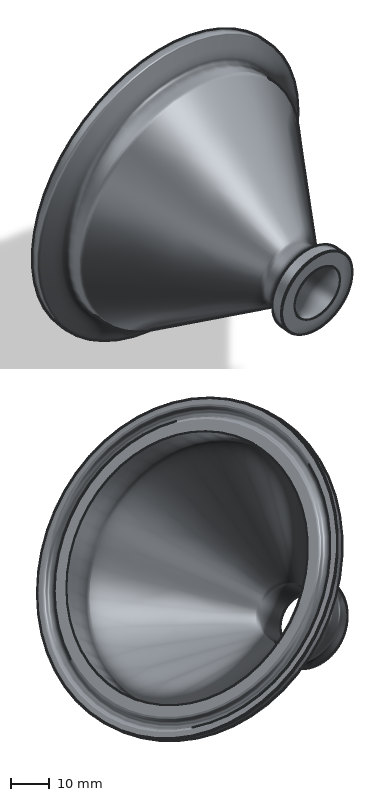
import cadquery as cq
import math

length = 60.0
wall = 1.6
flange_slope = math.radians(20)
edge_break = 0.2

large_flange_radius = 45.5
large_tube_radius = 38.1
large_slope_start = 2.8
large_rim_round = 0.8
large_neck_round = 1.9
large_bend_x = 11.0
large_bend_round = 2.0

small_flange_radius = 12.5
small_tube_radius = 9.6
small_slope_start = 56.15
small_rim_round = 0.7
small_neck_round = 2.0
small_bend_x = 49.6
small_bend_round = 2.3

groove_radius = 41.7
groove_half_width = 1.5
groove_depth = 1.55
groove_apex_depth = groove_half_width / math.tan(flange_slope)
groove_floor_round = (groove_apex_depth - groove_depth) / (1 / math.sin(flange_slope) - 1)
groove_lip_round = 0.8

large_bore_radius = large_tube_radius - wall
small_bore_radius = small_tube_radius - wall
cone_angle = math.atan2(large_tube_radius - small_tube_radius, small_bend_x - large_bend_x)
bore_bend_shift = wall * math.tan(cone_angle / 2)
large_slope_run = (large_flange_radius - large_tube_radius) * math.tan(flange_slope)
small_slope_run = (small_flange_radius - small_tube_radius) * math.tan(flange_slope)


def rounded_outline(corners):
    """Closed wire from (x, radius, rounding) corners; a zero rounding stays sharp."""
    edges = []
    tangents = []
    for i, (x, y, rounding) in enumerate(corners):
        corner = cq.Vector(x, y, 0)
        before = cq.Vector(*corners[i - 1][:2], 0)
        after = cq.Vector(*corners[(i + 1) % len(corners)][:2], 0)
        to_before = (before - corner).normalized()
        to_after = (after - corner).normalized()
        if rounding == 0:
            tangents.append((corner, corner))
            continue
        half_angle = to_before.getAngle(to_after) / 2
        setback = rounding / math.tan(half_angle)
        start = corner + to_before * setback
        end = corner + to_after * setback
        bisector = (to_before + to_after).normalized()
        middle = corner + bisector * (rounding / math.sin(half_angle) - rounding)
        edges.append(cq.Edge.makeThreePointArc(start, middle, end))
        tangents.append((start, end))
    for i, (start, _) in enumerate(tangents):
        edges.append(cq.Edge.makeLine(tangents[i - 1][1], start))
    return cq.Wire.combine(edges)[0]


outer_wall = [
    (0, large_flange_radius - edge_break, 0),
    (edge_break, large_flange_radius, 0),
    (large_slope_start, large_flange_radius, large_rim_round),
    (large_slope_start + large_slope_run, large_tube_radius, large_neck_round),
    (large_bend_x, large_tube_radius, large_bend_round),
    (small_bend_x, small_tube_radius, small_bend_round),
    (small_slope_start - small_slope_run, small_tube_radius, small_neck_round),
    (small_slope_start, small_flange_radius, small_rim_round),
    (length - edge_break, small_flange_radius, 0),
    (length, small_flange_radius - edge_break, 0),
]

bore = [
    (length, small_bore_radius, 0),
    (small_bend_x - bore_bend_shift, small_bore_radius, small_bend_round),
    (large_bend_x - bore_bend_shift, large_bore_radius, large_bend_round),
    (0, large_bore_radius, 0),
]

gasket_groove = [
    (0, groove_radius - groove_half_width, groove_lip_round),
    (groove_apex_depth, groove_radius, groove_floor_round),
    (0, groove_radius + groove_half_width, groove_lip_round),
]

profile = rounded_outline(outer_wall + bore + gasket_groove)
body = cq.Solid.revolve(profile, [], 360, cq.Vector(0, 0, 0), cq.Vector(1, 0, 0))
result = cq.Workplane("XY").newObject([body])